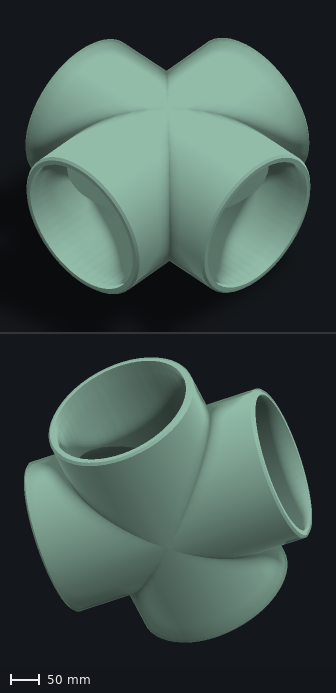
import cadquery as cq

outer_diameter = 273.0
wall_thickness = 12.7
overall_length = 432.0
end_bevel = 4.2

outer_radius = outer_diameter / 2
bore_radius = outer_radius - wall_thickness
half_length = overall_length / 2

RUN_PLANES = ("YZ", "XZ")


def cylinder(plane, radius):
    """Full-length cylinder centred on the origin, normal to the given plane."""
    return cq.Workplane(plane).circle(radius).extrude(half_length, both=True)


def bevelled_run(plane):
    """Solid outer body of one run, bevelled at both ends."""
    return cylinder(plane, outer_radius).edges("%CIRCLE").chamfer(end_bevel)


run_along_x, run_along_y = [bevelled_run(plane) for plane in RUN_PLANES]
result = run_along_x.union(run_along_y)

for run_plane in RUN_PLANES:
    result = result.cut(cylinder(run_plane, bore_radius))